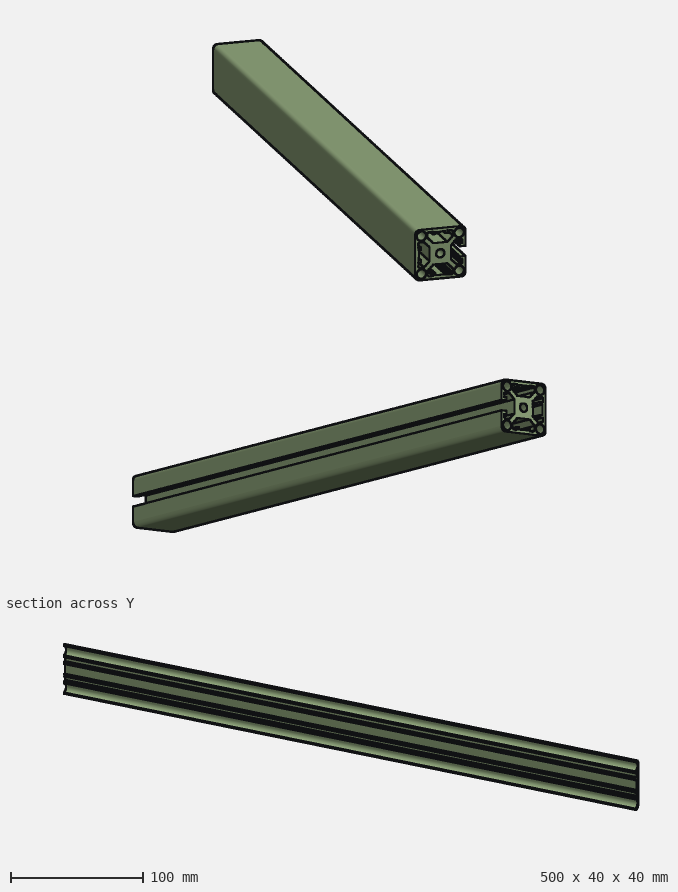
import cadquery as cq

length = 500
side = 40
half_side = side / 2
corner_radius = 4.0

bore_diameter = 6.5
corner_hole_diameter = 7.5
corner_hole_offset = 15

core_half_width = 8.5
chamber_half_width = 10
web_offset = 3.0
wall_thickness = 2.5
wall_depth = half_side - wall_thickness
chamber_corner_chamfer = 1.0

lip_inner = 4.0
closed_lip_outer = 6.0
open_lip_outer = 6.5
lip_depth = 15.5
lip_bridge_depth = 17.0


def make_bar():
    """Solid square bar, running along the X axis, with rounded long edges."""
    bar = cq.Workplane("YZ").rect(side, side).extrude(length)
    return bar.edges("|X").fillet(corner_radius)


def make_chamber(lip_outer):
    """Chamber on the +Y side, mirrored about the slot's middle plane."""
    half_outline = [
        (core_half_width - web_offset, core_half_width),
        (chamber_half_width, chamber_half_width + web_offset),
        (chamber_half_width, wall_depth - chamber_corner_chamfer),
        (chamber_half_width - chamber_corner_chamfer, wall_depth),
        (lip_outer, wall_depth),
        (lip_outer, lip_depth),
        (lip_inner, lip_depth),
        (lip_inner, lip_bridge_depth),
    ]
    upper = [(depth, width) for width, depth in half_outline]
    lower = [(depth, -width) for depth, width in reversed(upper)]
    return cq.Workplane("YZ").polyline(upper + lower).close().extrude(length)


def make_slot_opening():
    """Gap between the lips that opens the +Y chamber to the outside."""
    gap_depth = half_side - core_half_width
    return (
        cq.Workplane("YZ")
        .center(core_half_width + gap_depth / 2, 0)
        .rect(gap_depth, 2 * lip_inner)
        .extrude(length)
    )


def make_round_holes():
    """Central bore and the four corner holes."""
    bore = cq.Workplane("YZ").circle(bore_diameter / 2).extrude(length)
    corners = (
        cq.Workplane("YZ")
        .rect(2 * corner_hole_offset, 2 * corner_hole_offset, forConstruction=True)
        .vertices()
        .circle(corner_hole_diameter / 2)
        .extrude(length)
    )
    return bore.union(corners)


result = make_bar().cut(make_round_holes())
result = result.cut(make_slot_opening()).cut(make_chamber(open_lip_outer))
closed_chamber = make_chamber(closed_lip_outer)
for angle in (90, 180, 270):
    result = result.cut(closed_chamber.rotate((0, 0, 0), (1, 0, 0), angle))
result = result.translate((-length / 2, 0, 0))